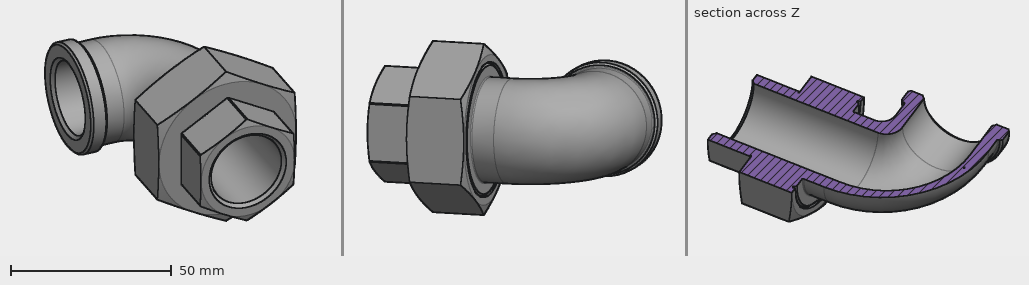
import cadquery as cq
import math

total_length = 80.7
total_depth = 56.5

tube_radius = 16.5
bend_radius = 21.3
root_fillet = 0.3

collar_radius = 18.0
collar_width = 5.65
collar_chamfer = 0.7

bore_radius = 12.0
bore_bend_radius = 17.7
mouth_radius = 13.15

nut_flats = 47.0
nut_start = 28.7
nut_width = 18.7

gap_outer_radius = 21.15
flange_radius = 20.7
flange_chamfer = 0.65
gap_depth = 1.0

outlet_flats = 31.95
outlet_corner_radius = 18.3
neck_radius = 15.5
neck_width = 0.25

hex_chamfer_angle = math.radians(16)

inlet_end = total_depth - nut_flats / 2
outlet_end = total_length - collar_radius
nut_end = nut_start + nut_width
nut_corner_radius = nut_flats / 2 / math.cos(math.pi / 6)
mouth_depth = mouth_radius - bore_radius
collar_back = inlet_end - collar_width


def turned_x(profile):
    """Turn (x, radius) points about the X axis."""
    return cq.Workplane("XY").polyline(profile).close().revolve(360, (0, 0), (1, 0))


def turned_y(profile):
    """Turn (radius, distance towards -Y) points about the Y axis."""
    points = [(radius, -distance) for radius, distance in profile]
    return cq.Workplane("XY").polyline(points).close().revolve(360, (0, 0), (0, 1))


def elbow_rod(radius, turn_radius, outlet_length):
    """Round rod along the inlet, a quarter bend of the given turn radius and the outlet."""
    bend_start = cq.Workplane("XZ", (0, -turn_radius, 0))
    inlet = bend_start.circle(radius).extrude(inlet_end - turn_radius)
    bend = bend_start.circle(radius).revolve(90, (turn_radius, 0.8), (turn_radius, 0))
    outlet = cq.Workplane("YZ", (turn_radius, 0, 0)).circle(radius).extrude(outlet_length - turn_radius)
    return inlet.union(bend).union(outlet)


def root_fillet_ring():
    """Concave fillet ring around the tube, against a face at x = 0."""
    return (
        cq.Workplane("XY")
        .moveTo(0, bore_radius)
        .lineTo(0, tube_radius + root_fillet)
        .radiusArc((-root_fillet, tube_radius), root_fillet)
        .lineTo(-root_fillet, bore_radius)
        .close()
        .revolve(360, (0, 0), (1, 0))
    )


def inlet_collar():
    blank = cq.Workplane("XZ", (0, -collar_back, 0)).circle(collar_radius).extrude(collar_width)
    fillet = root_fillet_ring().rotate((0, 0, 0), (0, 0, 1), -90).translate((0, -collar_back, 0))
    return blank.edges("%CIRCLE").chamfer(collar_chamfer).union(fillet)


def hexagon(start, end, flats, corner_radius, chamfered_start):
    """Hexagon along X with corners at +Z and -Z and turned chamfers on its ends."""
    face_radius = flats / 2
    setback = (corner_radius - face_radius) * math.tan(hex_chamfer_angle)
    start_profile = [(start, corner_radius)]
    if chamfered_start:
        start_profile = [(start + setback, corner_radius), (start, face_radius)]
    envelope = turned_x(
        [(start, 0), (end, 0), (end, face_radius), (end - setback, corner_radius)] + start_profile
    )
    prism = (
        cq.Workplane("YZ", (start, 0, 0))
        .polygon(6, flats, circumscribed=True)
        .extrude(end - start)
    )
    return prism.intersect(envelope)


def union_nut():
    """Nut with the gap that separates it from the elbow flange."""
    gap = turned_x(
        [
            (nut_start, flange_radius - flange_chamfer),
            (nut_start, gap_outer_radius),
            (nut_start + gap_depth, gap_outer_radius),
            (nut_start + gap_depth, flange_radius),
            (nut_start + flange_chamfer, flange_radius),
        ]
    )
    fillet = root_fillet_ring().translate((nut_start, 0, 0))
    return hexagon(nut_start, nut_end, nut_flats, nut_corner_radius, True).cut(gap).union(fillet)


def outlet_hexagon():
    neck = cq.Workplane("YZ", (nut_end, 0, 0)).circle(neck_radius).extrude(neck_width)
    body = hexagon(nut_end + neck_width, outlet_end, outlet_flats, outlet_corner_radius, False)
    return body.union(neck)


def mouth_flare(end):
    """(Radius, distance) profile of the conical flare at a mouth."""
    return [(0, end), (mouth_radius, end), (bore_radius, end - mouth_depth), (0, end - mouth_depth)]


body = elbow_rod(tube_radius, bend_radius, nut_start)
body = body.union(inlet_collar()).union(union_nut()).union(outlet_hexagon())
bore = elbow_rod(bore_radius, bore_bend_radius, outlet_end)
inlet_flare = turned_y(mouth_flare(inlet_end))
outlet_flare = turned_x([(distance, radius) for radius, distance in mouth_flare(outlet_end)])
result = body.cut(bore).cut(inlet_flare).cut(outlet_flare)